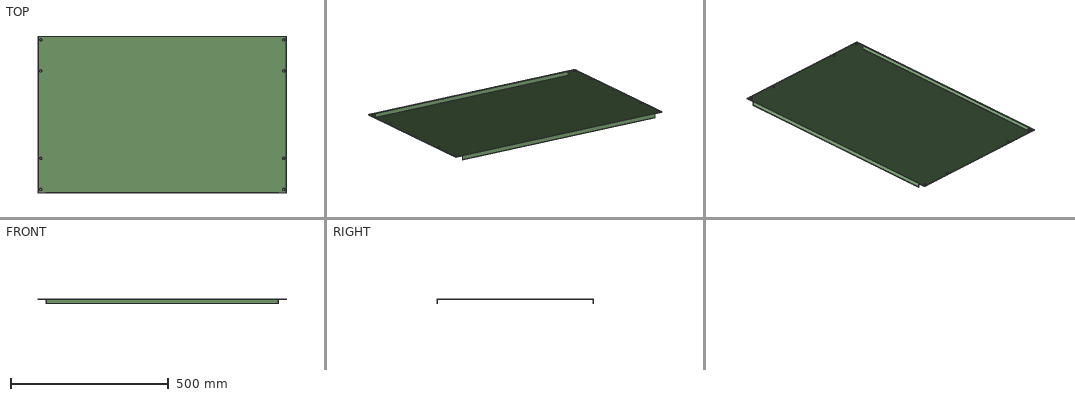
import cadquery as cq

length = 788.0
width = 497.0
height = 15.0
sheet = 1.5

flange_end_gap = 26.0
flange_length = length - 2 * flange_end_gap

hole_diameter = 6.0
hole_end_gap = 9.0
hole_x = length / 2 - hole_end_gap
outer_hole_y = 237.0
inner_hole_y = 139.0


def make_plate():
    """Flat sheet with its top face at the full height."""
    return (
        cq.Workplane("XY")
        .box(length, width, sheet, centered=(True, True, False))
        .translate((0, 0, height - sheet))
    )


def make_flange(side):
    """Flange down from one long edge; side is +1 or -1 along Y."""
    return (
        cq.Workplane("XY")
        .box(flange_length, sheet, height, centered=(True, True, False))
        .translate((0, side * (width - sheet) / 2, 0))
    )


def drill_holes(body):
    """Four through holes beside each short edge."""
    points = [
        (x, y)
        for x in (-hole_x, hole_x)
        for y in (-outer_hole_y, -inner_hole_y, inner_hole_y, outer_hole_y)
    ]
    holes = cq.Workplane("XY").pushPoints(points).circle(hole_diameter / 2).extrude(height)
    return body.cut(holes)


panel = make_plate()
for side in (-1, 1):
    panel = panel.union(make_flange(side))

result = drill_holes(panel)